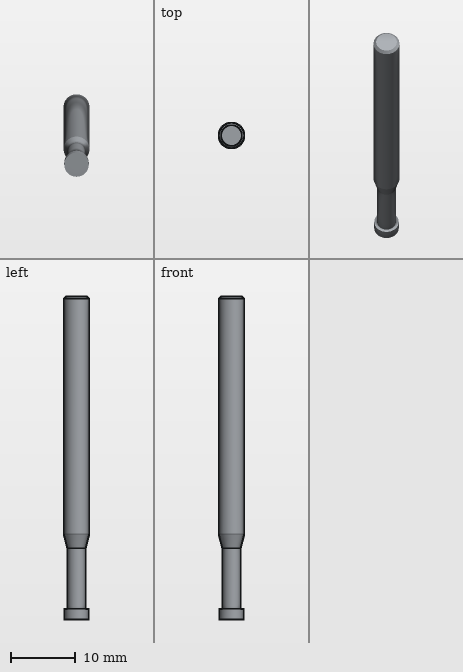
import cadquery as cq

total_length = 50.0
barrel_diameter = 4.0

barrel_bottom = 13.25
top_chamfer = 0.4
cone_bottom = 11.05

stem_diameter = 2.9
head_diameter = 3.8
head_height = 1.65


def cylinder(diameter, bottom, top):
    """Upright cylinder on the Z axis between two heights."""
    return cq.Workplane("XY").workplane(offset=bottom).circle(diameter / 2).extrude(top - bottom)


def make_barrel():
    """Chamfered barrel that tapers down to the stem diameter."""
    barrel_radius = barrel_diameter / 2
    stem_radius = stem_diameter / 2
    return (
        cq.Workplane("XZ")
        .moveTo(0, cone_bottom)
        .lineTo(stem_radius, cone_bottom)
        .lineTo(barrel_radius, barrel_bottom)
        .lineTo(barrel_radius, total_length - top_chamfer)
        .lineTo(barrel_radius - top_chamfer, total_length)
        .lineTo(0, total_length)
        .close()
        .revolve(360, (0, 0), (0, 1))
    )


def make_stem():
    """Plain stem between the head and the barrel cone."""
    return cylinder(stem_diameter, head_height, cone_bottom)


def make_head():
    """Flat disc at the lower end of the stem."""
    return cylinder(head_diameter, 0, head_height)


barrel = make_barrel()
stem = make_stem()
head = make_head()

result = cq.Compound.makeCompound([barrel.val(), stem.val(), head.val()])